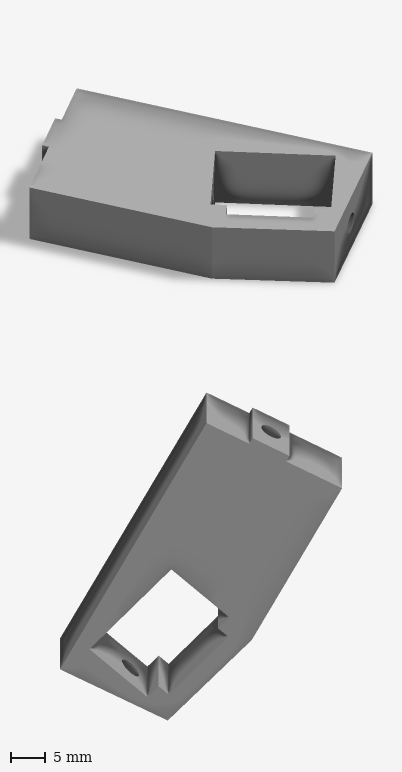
import cadquery as cq

LENGTH = 45.5
WIDTH = 22.0
HEIGHT = 10.0

TAB_DEPTH = 1.0
TAB_WIDTH = 6.0
TAB_CENTER_Y = 12.05

SLOPE_START_X = 28.45
SLOPE_END_Y = 4.55
END_FACE_LEAN = 0.1

POCKET_CORNER = (23.95, 15.45)
POCKET_TILT = 14.5
POCKET_LENGTH = 17.3
POCKET_WIDTH = 11.3
RECESS_LENGTH = 12.55
RECESS_DEPTH = 1.95

BORE_DIAMETER = 3.2


def make_block():
    """Block with one sloped corner and a full-height locating tab."""
    outline = [
        (TAB_DEPTH, 0),
        (SLOPE_START_X, 0),
        (LENGTH - END_FACE_LEAN, SLOPE_END_Y),
        (LENGTH, WIDTH),
        (TAB_DEPTH, WIDTH),
    ]
    body = cq.Workplane("XY").polyline(outline).close().extrude(HEIGHT)
    tab = (
        cq.Workplane("XY")
        .box(2 * TAB_DEPTH, TAB_WIDTH, HEIGHT, centered=(False, True, False))
        .translate((0, TAB_CENTER_Y, 0))
    )
    return body.union(tab)


def make_pocket():
    """Tilted rectangular opening with a narrower recess along its front side."""
    shoulder = (POCKET_LENGTH - RECESS_LENGTH) / 2
    total_width = POCKET_WIDTH + RECESS_DEPTH
    opening = cq.Workplane("XY").rect(POCKET_LENGTH, -POCKET_WIDTH, centered=False).extrude(HEIGHT)
    recess = (
        cq.Workplane("XY")
        .moveTo(shoulder, 0)
        .rect(RECESS_LENGTH, -total_width, centered=False)
        .extrude(HEIGHT)
    )
    return (
        opening.union(recess)
        .rotate((0, 0, 0), (0, 0, 1), POCKET_TILT)
        .translate((*POCKET_CORNER, 0))
    )


def make_bore():
    """Horizontal hole running the full length of the part."""
    return (
        cq.Workplane("YZ")
        .center(TAB_CENTER_Y, HEIGHT / 2)
        .circle(BORE_DIAMETER / 2)
        .extrude(LENGTH)
    )


result = make_block().cut(make_pocket()).cut(make_bore())